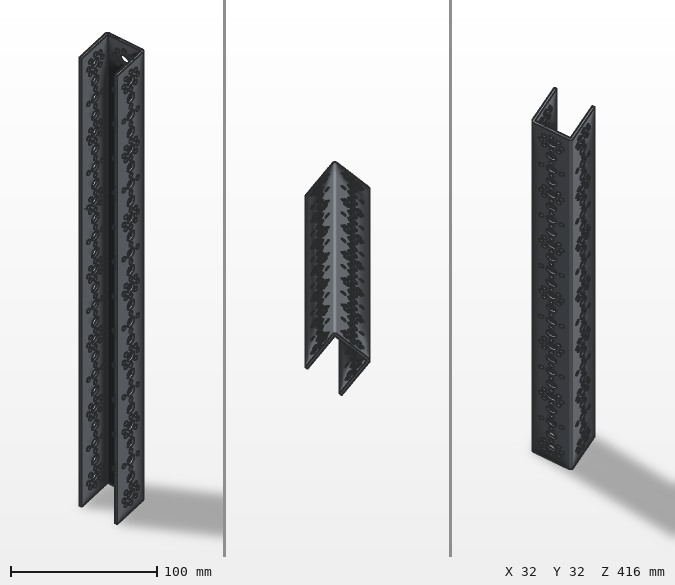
import cadquery as cq
import math

width = 32.0
depth = 32.0
length = 416.0
wall = 2.0
bend_radius = 2.0

hole_pitch = 16.0
large_diameter = 8.0
small_diameter = 3.7
ring_radius = hole_pitch / 2
side_pair_step = 2
full_ring_step = 4
large_count = round(length / hole_pitch) - 1


def channel():
    """Bent channel centred on the Z axis."""
    outside = (
        cq.Workplane("XY")
        .box(width, depth, length)
        .edges("|Z and >Y")
        .fillet(bend_radius)
    )
    inside = cq.Workplane("XY").box(width - 2 * wall, depth, length).translate((0, -wall, 0))
    return outside.cut(inside)


def hole_centers():
    """Centres (across, along) of the large and of the small holes on one wall."""
    first = -length / 2 + hole_pitch
    large = [(0, first + i * hole_pitch) for i in range(large_count)]
    small = [(0, first - ring_radius + i * hole_pitch) for i in range(large_count + 1)]
    diagonal = ring_radius / math.sqrt(2)
    for i, (_, along) in enumerate(large):
        if i % side_pair_step == 0:
            small += [(side * ring_radius, along) for side in (-1, 1)]
        if i % full_ring_step == 0:
            small += [(a * diagonal, along + b * diagonal) for a in (-1, 1) for b in (-1, 1)]
    return large, small


def drills(plane, reach):
    """Cylinders for one wall pattern, reaching the given distance to both sides of the plane."""
    large, small = hole_centers()
    large_drills = cq.Workplane(plane).pushPoints(large).circle(large_diameter / 2).extrude(reach, both=True)
    small_drills = cq.Workplane(plane).pushPoints(small).circle(small_diameter / 2).extrude(reach, both=True)
    return large_drills.add(small_drills).combine()


result = channel().cut(drills("XZ", depth)).cut(drills("YZ", width))